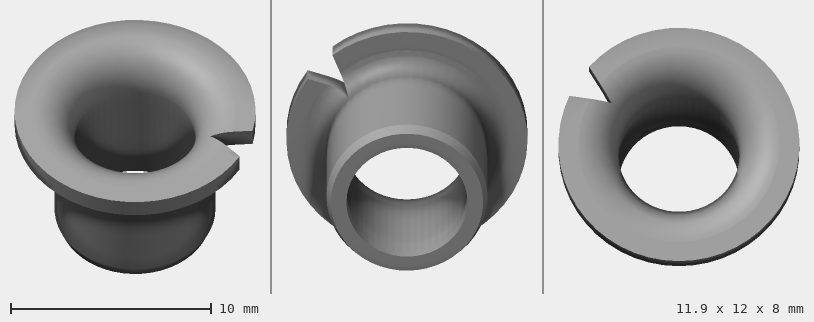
import cadquery as cq
import math

flange_radius = 5.99
height = 8.0
bore_radius = 3.01
wall = 1.0
body_radius = bore_radius + wall
flange_thickness = wall
neck_radius = wall
mouth_radius = neck_radius + flange_thickness
chamfer_height = 0.6
chamfer_angle = 20.0
notch_half_angle = 25.0

flange_bottom = height - flange_thickness
neck_bottom = flange_bottom - neck_radius
chamfer_width = chamfer_height * math.tan(math.radians(chamfer_angle))
arc_centre_r = body_radius + neck_radius
diagonal = math.sqrt(0.5)


def arc_middle(radius):
    """Midpoint of a quarter arc about the shared centre of neck and mouth."""
    return (arc_centre_r - radius * diagonal, neck_bottom + radius * diagonal)


def make_bushing():
    """Revolve the wall section; sketch X is radius, sketch Y is height."""
    return (
        cq.Workplane("XZ")
        .moveTo(bore_radius, 0)
        .lineTo(body_radius - chamfer_width, 0)
        .lineTo(body_radius, chamfer_height)
        .lineTo(body_radius, neck_bottom)
        .threePointArc(arc_middle(neck_radius), (arc_centre_r, flange_bottom))
        .lineTo(flange_radius, flange_bottom)
        .lineTo(flange_radius, height)
        .lineTo(arc_centre_r, height)
        .threePointArc(arc_middle(mouth_radius), (bore_radius, neck_bottom))
        .close()
        .revolve(360, (0, 0, 0), (0, 1, 0))
    )


def make_notch():
    """V-shaped cutter on +X whose tip touches the body's outer surface."""
    notch_length = flange_radius
    half_width = notch_length * math.tan(math.radians(notch_half_angle))
    return (
        cq.Workplane("XY")
        .moveTo(body_radius, 0)
        .lineTo(body_radius + notch_length, half_width)
        .lineTo(body_radius + notch_length, -half_width)
        .close()
        .extrude(height)
    )


result = make_bushing().cut(make_notch())